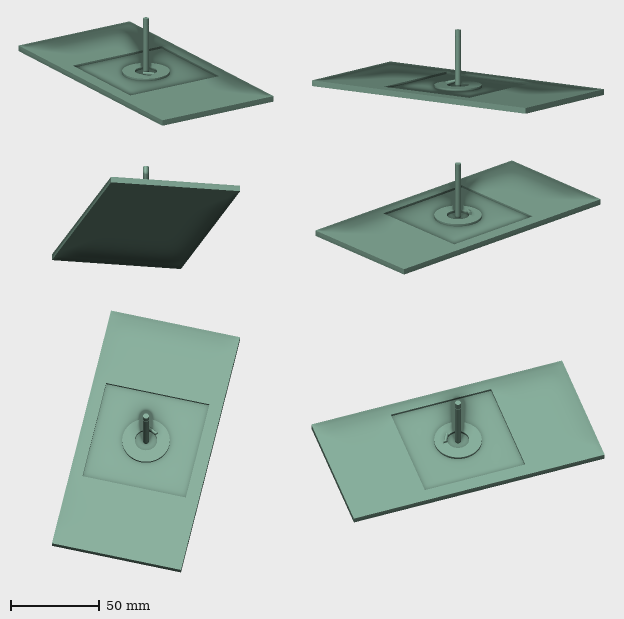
import cadquery as cq
import math

plate_length = 150.0
plate_width = 75.0
plate_thickness = 3.3
total_height = 35.0

pocket_side = 60.0
pocket_depth = 1.4
disk_radius = 13.5
recess_radius = 6.3
pocket_floor = plate_thickness - pocket_depth

pin_radius = 1.6
groove_from_tip = 3.8
groove_width = 0.5
groove_depth = 0.08

nub_turn = math.radians(-46)
nub_start_distance = 7.6
nub_start_radius = 1.2
nub_start_height = 0.2
nub_end_distance = 7.0
nub_end_radius = 0.98
nub_end_height = 0.9


def cylinder(radius, bottom, height):
    """Upright cylinder on the Z axis."""
    return cq.Workplane("XY", origin=(0, 0, bottom)).circle(radius).extrude(height)


def make_plate():
    plate = cq.Workplane("XY").box(
        plate_length, plate_width, plate_thickness, centered=(True, True, False)
    )
    pocket = cq.Workplane("XY", origin=(0, 0, pocket_floor)).rect(pocket_side, pocket_side)
    return plate.cut(pocket.extrude(pocket_depth))


def make_disk():
    disk = cylinder(disk_radius, pocket_floor, pocket_depth)
    return disk.cut(cylinder(recess_radius, pocket_floor, pocket_depth))


def make_pin():
    pin = cylinder(pin_radius, 0, total_height)
    groove_bottom = total_height - groove_from_tip - groove_width
    groove = cylinder(pin_radius, groove_bottom, groove_width)
    groove = groove.cut(cylinder(pin_radius - groove_depth, groove_bottom, groove_width))
    return pin.cut(groove)


def nub_section(angle, distance, height, radius):
    """Upright circle whose plane contains the Z axis at the given angle."""
    centre = cq.Vector(
        distance * math.cos(angle), distance * math.sin(angle), plate_thickness + height
    )
    normal = cq.Vector(math.sin(angle), -math.cos(angle), 0)
    return cq.Wire.makeCircle(radius, centre, normal)


def make_nub():
    start = nub_section(0, nub_start_distance, nub_start_height, nub_start_radius)
    end = nub_section(nub_turn, nub_end_distance, nub_end_height, nub_end_radius)
    return cq.Workplane(cq.Solid.makeLoft([start, end], True))


result = make_plate().union(make_disk()).union(make_pin()).union(make_nub())